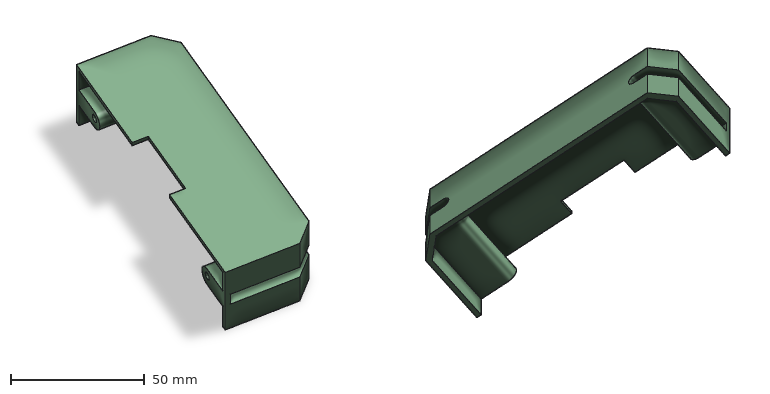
import cadquery as cq

length, depth, height = 119, 39.8, 31.9
wall = 2.0
roof = 1.8
corner_chamfer = 8.3
inner_chamfer = 7.7
notch_width, notch_depth = 29.7, 6.8
arm_height = 8.6
hole_diameter = 3.2
arm_drop = 0.5
hole_inset = 14.4
slot_height = 5.5
front_web = 2.1
relief_radius = 14.3
relief_inset = 5.2

arm_radius = arm_height / 2
hole_z = height / 2
arm_z = hole_z - arm_drop
arm_top = arm_z + arm_radius
roof_underside = height - roof


def box(x, y, z, dx, dy, dz):
    """Box placed by its lowest corner."""
    return cq.Workplane("XY").box(dx, dy, dz, centered=False).translate((x, y, z))


def rod(diameter, axis_z, y_start, y_end):
    """Cylinder along Y at the left screw position."""
    plane = cq.Workplane("XZ", origin=(hole_inset, y_start, axis_z))
    return plane.circle(diameter / 2).extrude(y_start - y_end)


def both_ends(left):
    """Add the mirror image at the right end."""
    return left.union(left.mirror("YZ", (length / 2, 0, 0)))


envelope = box(0, 0, 0, length, depth, height).edges("|Z and >Y").chamfer(corner_chamfer)


def make_shell():
    """Roof, back and side walls, open at the front and bottom."""
    cavity = box(wall, 0, 0, length - 2 * wall, depth - wall, roof_underside)
    cavity = cavity.edges("|Z and >Y").chamfer(inner_chamfer)
    notch = box((length - notch_width) / 2, 0, roof_underside, notch_width, notch_depth, roof)
    return envelope.cut(cavity).cut(notch)


def make_corner_relief():
    """Pocket above the left arm with a convex far side."""
    return (
        cq.Workplane("XY", origin=(0, 0, arm_top))
        .moveTo(wall, depth - wall - inner_chamfer)
        .lineTo(wall, depth - wall - relief_inset)
        .radiusArc((relief_inset + wall, depth - wall), -relief_radius)
        .lineTo(wall + inner_chamfer, depth - wall)
        .close()
        .extrude(roof_underside - arm_top)
    )


def make_arm():
    """Round-ended bar from the left side wall to the screw position."""
    bar = box(0, 0, arm_z - arm_radius, hole_inset, depth, arm_height)
    return bar.union(rod(arm_height, arm_z, 0, depth))


def make_screw_slot():
    """Channel open to the side and back, ending at the drilled front web."""
    slot_length = depth - front_web
    channel = box(0, front_web, hole_z - slot_height / 2, hole_inset, slot_length, slot_height)
    slot_end = rod(slot_height, hole_z, front_web, depth)
    screw_hole = rod(hole_diameter, hole_z, 0, depth)
    return channel.union(slot_end).union(screw_hole)


shell = make_shell()
arms = both_ends(make_arm()).intersect(envelope)
result = shell.cut(both_ends(make_corner_relief())).union(arms).cut(both_ends(make_screw_slot()))